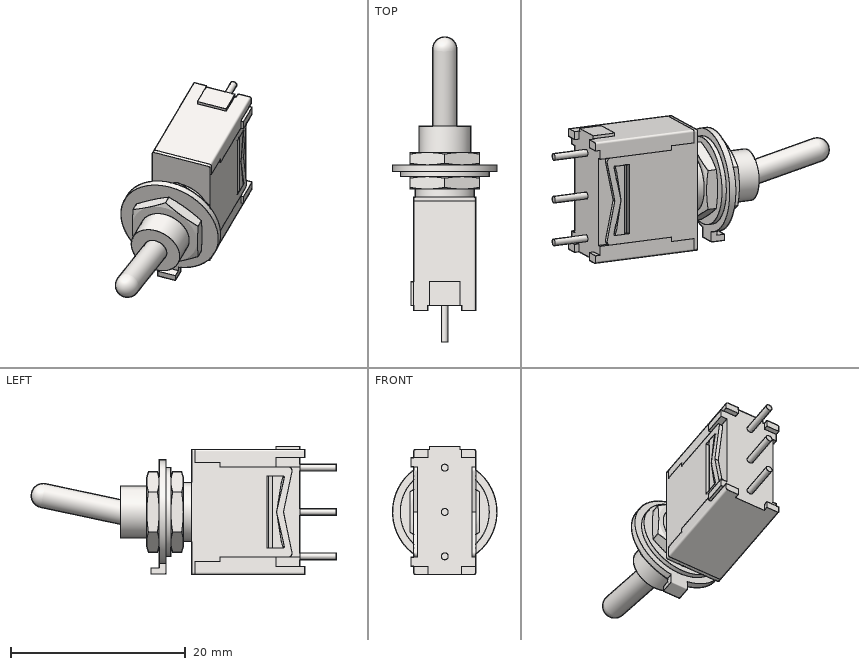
import cadquery as cq
import math


case_width = 7.12
case_height = 14.36
case_back_y = -12.43
case_edge_radius = 0.25

foot_length = 0.57
foot_height = 0.95
foot_inner_x = 1.93

lug_front_y = -9.68
side_lug_height = 0.33
top_lug_height = 0.35
top_lug_width = 3.54

plate_thickness = 0.42
strap_thickness = 0.45
strap_width = 10.34
strap_shoulder_width = 11.38
strap_shoulder_y = -3.29
strap_end_y = -11.62
strap_notch_y = -10.54
strap_end_radius = 0.45

window_width = 8.22
window_front_y = -8.65
window_end_y = -10.67
window_notch_y = -9.75
window_corner_radius = 0.15

collar_diameter = 6.8
collar_length = 0.93
bushing_diameter = 5.97
bushing_front_y = 8.14

catch_front_gap = 0.2
catch_ramp_length = 0.45
catch_half_width = window_width / 2
catch_shoulder_z = 3.3
catch_shoulder_y = window_notch_y - 0.53
catch_end_y = -10.5
catch_height = strap_thickness

lever_diameter = 2.79
lever_tilt = 12
lever_tip_y = 18.38
socket_depth = 3.0

nut_across_flats = 8.0
nut_thickness = 1.44
nut_chamfer_length = 0.2
nut_face_diameter = 7.9
lock_washer_diameter = 10.21
lock_washer_thickness = 0.55
ring_diameter = 11.99
ring_thickness = 0.78

key_width = 2.2
key_bottom_z = -7.13
key_toe_height = 0.74
key_toe_length = 0.95
key_bend_radius = 0.12

pin_diameter = 0.79
pin_spacing = 5.08
pin_tip_y = case_back_y - 4.17
pin_seat_depth = 1.0

rear_nut_y = collar_length
lock_washer_y = rear_nut_y + nut_thickness
ring_y = lock_washer_y + lock_washer_thickness
front_nut_y = ring_y + ring_thickness

half_width = case_width / 2
half_height = case_height / 2
strap_inner_x = half_width - strap_thickness


def block(x_min, x_max, y_min, y_max, z_min, z_max):
    """Box between the given limits."""
    size = (x_max - x_min, y_max - y_min, z_max - z_min)
    return cq.Workplane("XY").box(*size, centered=False).translate((x_min, y_min, z_min))


def rod(diameter, y_min, y_max, z=0):
    """Cylinder along Y."""
    plane = cq.Plane(origin=(0, y_min, z), xDir=(1, 0, 0), normal=(0, 1, 0))
    return cq.Workplane(plane).circle(diameter / 2).extrude(y_max - y_min)


def side_prism(points, x_start, thickness):
    """Prism along X with an outline of (y, z) points."""
    return cq.Workplane("YZ").workplane(offset=x_start).polyline(points).close().extrude(thickness)


def mirrored(half_points):
    """Outline symmetric about z = 0, from its points on the +Z side and on the axis."""
    return half_points + [(y, -z) for y, z in reversed(half_points) if z > 0]


def rounded_box(y_min, y_max):
    """Block with the case section, its long edges rounded."""
    box = block(-half_width, half_width, y_min, y_max, -half_height, half_height)
    return box.edges("|Y").fillet(case_edge_radius)


def both_sides(body):
    """The body and its mirror image across the YZ plane."""
    return body.union(body.mirror("YZ"))


def strap_blank(end_points):
    half = strap_width / 2
    shoulder_half = strap_shoulder_width / 2
    outline = [
        (-plate_thickness, shoulder_half),
        (strap_shoulder_y, shoulder_half),
        (strap_shoulder_y, half),
        *end_points,
        (strap_shoulder_y, -half),
        (strap_shoulder_y, -shoulder_half),
        (-plate_thickness, -shoulder_half),
    ]
    return side_prism(outline, strap_inner_x, strap_thickness)


def strap():
    half = strap_width / 2
    notched_end = [(strap_end_y, half), (strap_notch_y, 0), (strap_end_y, -half)]
    body = strap_blank(notched_end)
    end_corners = cq.selectors.BoxSelector(
        (0, strap_end_y - 0.1, -case_height), (case_width, strap_end_y + 0.1, case_height)
    )
    body = body.edges("|X").edges(end_corners).fillet(strap_end_radius)

    window_half = window_width / 2
    window_outline = [
        (window_front_y, window_half),
        (window_end_y, window_half),
        (window_notch_y, 0),
        (window_end_y, -window_half),
        (window_front_y, -window_half),
    ]
    window = side_prism(window_outline, strap_inner_x, strap_thickness)
    window = window.edges("|X").edges("<Y").fillet(window_corner_radius)
    return body.cut(window)


def make_bracket():
    body = rounded_box(-plate_thickness, 0)
    body = body.union(both_sides(strap()))
    body = body.union(rod(collar_diameter, 0, collar_length))
    return body.union(rod(bushing_diameter, 0, bushing_front_y))


def strap_recess():
    half = strap_width / 2
    return strap_blank([(case_back_y, half), (case_back_y, -half)])


def catch():
    """Snap catch with a ramp at its front and a V-shaped back."""
    front_y = window_front_y - catch_front_gap
    outline = [
        (front_y, catch_half_width),
        (catch_end_y, catch_half_width),
        (catch_shoulder_y, catch_shoulder_z),
        (window_notch_y, 0),
        (catch_shoulder_y, -catch_shoulder_z),
        (catch_end_y, -catch_half_width),
        (front_y, -catch_half_width),
    ]
    body = side_prism(outline, strap_inner_x, catch_height)
    ramp = (
        cq.Workplane("XY")
        .polyline(
            [
                (strap_inner_x, front_y),
                (strap_inner_x + catch_height, front_y - catch_ramp_length),
                (strap_inner_x + catch_height, front_y),
            ]
        )
        .close()
        .extrude(catch_half_width, both=True)
    )
    return body.cut(ramp)


def make_case():
    body = rounded_box(case_back_y - foot_length, -plate_thickness)
    foot_inner_z = half_height - foot_height
    back = (case_back_y - foot_length, case_back_y)
    body = body.cut(block(-half_width, half_width, *back, -foot_inner_z, foot_inner_z))
    body = body.cut(block(-foot_inner_x, foot_inner_x, *back, -half_height, half_height))

    body = body.cut(both_sides(strap_recess()))
    body = body.union(both_sides(catch()))

    lug_y = (case_back_y, lug_front_y)
    lug_x = (-half_width - side_lug_height, -strap_inner_x)
    for z_min, z_max in ((strap_width / 2, foot_inner_z), (-foot_inner_z, -strap_width / 2)):
        body = body.union(block(*lug_x, *lug_y, z_min, z_max))

    lug_half = top_lug_width / 2
    top_lug_z = (foot_inner_z, half_height + top_lug_height)
    return body.union(block(-lug_half, lug_half, *lug_y, *top_lug_z))


def make_lever():
    radius = lever_diameter / 2
    tilt = math.radians(lever_tilt)
    dome_center = (lever_tip_y - radius - bushing_front_y) / math.cos(tilt)
    profile = (
        cq.Workplane("XY")
        .moveTo(0, -socket_depth)
        .lineTo(radius, -socket_depth)
        .lineTo(radius, dome_center)
        .radiusArc((0, dome_center + radius), -radius)
        .close()
    )
    upright = profile.revolve(360, (0, 0, 0), (0, 1, 0))
    tilted = upright.rotate((0, 0, 0), (1, 0, 0), lever_tilt)
    return tilted.translate((0, bushing_front_y, 0))


def make_nut(rear_y):
    """Hexagon nut with corners on the Z axis and both faces chamfered."""
    corner_radius = nut_across_flats / math.sqrt(3)
    corners = [
        (corner_radius * math.sin(i * math.pi / 3), corner_radius * math.cos(i * math.pi / 3))
        for i in range(6)
    ]
    hexagon = cq.Workplane("XZ").polyline(corners).close().extrude(-nut_thickness)

    face_radius = nut_face_diameter / 2
    chamfer_cone = (
        cq.Workplane("XY")
        .polyline(
            [
                (0, 0),
                (face_radius, 0),
                (corner_radius, nut_chamfer_length),
                (corner_radius, nut_thickness - nut_chamfer_length),
                (face_radius, nut_thickness),
                (0, nut_thickness),
            ]
        )
        .close()
        .revolve(360, (0, 0, 0), (0, 1, 0))
    )
    nut = hexagon.intersect(chamfer_cone).cut(rod(bushing_diameter, 0, nut_thickness))
    return nut.translate((0, rear_y, 0))


def make_lock_washer():
    front_y = lock_washer_y + lock_washer_thickness
    disc = rod(lock_washer_diameter, lock_washer_y, front_y)
    return disc.cut(rod(bushing_diameter, lock_washer_y, front_y))


def make_locating_ring():
    """Flat ring with a key at the bottom, bent forward at its end."""
    front_y = ring_y + ring_thickness
    key_top_z = -bushing_diameter / 2 - ring_thickness
    toe_top_z = key_bottom_z + key_toe_height
    key_outline = [
        (ring_y, key_top_z),
        (ring_y, key_bottom_z),
        (front_y + key_toe_length, key_bottom_z),
        (front_y + key_toe_length, toe_top_z),
        (front_y, toe_top_z),
        (front_y, key_top_z),
    ]
    key = side_prism(key_outline, -key_width / 2, key_width)
    key = key.edges("|X and <Y and <Z").fillet(key_bend_radius)
    ring = rod(ring_diameter, ring_y, front_y).union(key)
    return ring.cut(rod(bushing_diameter, ring_y, front_y))


def make_pin(z):
    return rod(pin_diameter, pin_tip_y, case_back_y + pin_seat_depth, z)


lever = make_lever()
bracket = make_bracket().cut(lever)
pins = [make_pin(row * pin_spacing) for row in (-1, 0, 1)]
nuts = [make_nut(y) for y in (rear_nut_y, front_nut_y)]
lock_washer = make_lock_washer()
locating_ring = make_locating_ring()

case = make_case()
for pin in pins:
    case = case.cut(pin)

result = cq.Compound.makeCompound(
    [
        case.val(),
        bracket.val(),
        lever.val(),
        lock_washer.val(),
        locating_ring.val(),
        *[nut.val() for nut in nuts],
        *[pin.val() for pin in pins],
    ]
)